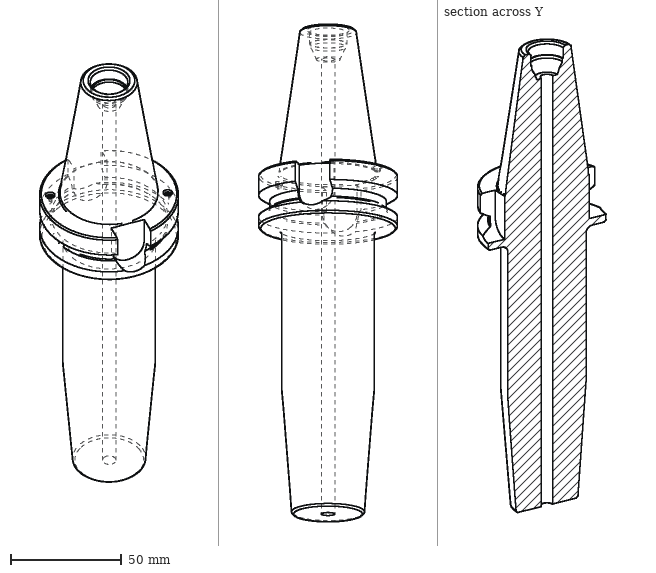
import cadquery as cq
import math


GAUGE_RADIUS = 22.225
TAPER_HEIGHT = 65.4
TAPER_SLOPE = 7 / 48
TAPER_TOP_RADIUS = GAUGE_RADIUS - TAPER_HEIGHT * TAPER_SLOPE
TAPER_TOP_CHAMFER = 1.0

FLANGE_RADIUS = 31.5
FLANGE_TOP_Z = -2.0
FLANGE_BOTTOM_Z = -27.0
FLANGE_TOP_CHAMFER = 0.8
COLLAR_FILLET = 0.7
FLANGE_BOTTOM_CHAMFER = 1.0
GROOVE_CENTER_Z = -16.6
GROOVE_RADIUS = 26.5
GROOVE_FLOOR_HALF_WIDTH = 2.1
GROOVE_WALL_ANGLE = math.radians(30)
GROOVE_FILLET = 0.8
GROOVE_MOUTH_HALF_WIDTH = (
    GROOVE_FLOOR_HALF_WIDTH + (FLANGE_RADIUS - GROOVE_RADIUS) * math.tan(GROOVE_WALL_ANGLE)
)

SHANK_RADIUS = 21.0
SHANK_FILLET = 3.0
NOSE_START_Z = -102.3
NOSE_RADIUS = 16.6
NOSE_BOTTOM_Z = -160.0
NOSE_CHAMFER = 1.0

MOUTH_RADIUS = 9.5
SOCKET_RADIUS = 8.5
SOCKET_DEPTH = 6.3
STEP_RADIUS = 8.1
STEP_DEPTH = 7.8
UPPER_CONE_END_RADIUS = 6.5
UPPER_CONE_ANGLE = math.radians(30)
LOWER_CONE_END_RADIUS = 5.4
LOWER_CONE_ANGLE = math.radians(20)
COOLANT_RADIUS = 3.0

SLOT_WIDTH = 16.1
SLOT_FLOOR_X = 22.6
SLOT_BOTTOM_Z = -23.2

SCREW_CIRCLE_RADIUS = 26.6
SCREW_ANGLE = 70
SCREW_RADIUS = 2.1
SCREW_COUNTERSINK = 0.7
SCREW_HOLE_DEPTH = 1.5
SCREW_SOCKET_RADIUS = 0.7
SCREW_SOCKET_DEPTH = 3.0


def make_body():
    """Revolve the outer outline around the Z axis."""
    groove_top = GROOVE_CENTER_Z + GROOVE_FLOOR_HALF_WIDTH
    groove_bottom = GROOVE_CENTER_Z - GROOVE_FLOOR_HALF_WIDTH
    mouth_top = GROOVE_CENTER_Z + GROOVE_MOUTH_HALF_WIDTH
    mouth_bottom = GROOVE_CENTER_Z - GROOVE_MOUTH_HALF_WIDTH
    fillet_setback = GROOVE_FILLET * math.tan((math.pi / 2 - GROOVE_WALL_ANGLE) / 2)
    profile = (
        cq.Workplane("XZ")
        .moveTo(0, TAPER_HEIGHT)
        .lineTo(TAPER_TOP_RADIUS - TAPER_TOP_CHAMFER, TAPER_HEIGHT)
        .lineTo(TAPER_TOP_RADIUS + TAPER_TOP_CHAMFER * TAPER_SLOPE, TAPER_HEIGHT - TAPER_TOP_CHAMFER)
        .lineTo(GAUGE_RADIUS, 0)
        .lineTo(GAUGE_RADIUS, FLANGE_TOP_Z + COLLAR_FILLET)
        .radiusArc((GAUGE_RADIUS + COLLAR_FILLET, FLANGE_TOP_Z), -COLLAR_FILLET)
        .lineTo(FLANGE_RADIUS - FLANGE_TOP_CHAMFER, FLANGE_TOP_Z)
        .lineTo(FLANGE_RADIUS, FLANGE_TOP_Z - FLANGE_TOP_CHAMFER)
        .lineTo(FLANGE_RADIUS, mouth_top)
        .lineTo(GROOVE_RADIUS, groove_top)
        .lineTo(GROOVE_RADIUS, groove_bottom + fillet_setback)
        .radiusArc(
            (
                GROOVE_RADIUS + fillet_setback * math.cos(GROOVE_WALL_ANGLE),
                groove_bottom - fillet_setback * math.sin(GROOVE_WALL_ANGLE),
            ),
            -GROOVE_FILLET,
        )
        .lineTo(FLANGE_RADIUS, mouth_bottom)
        .lineTo(FLANGE_RADIUS, FLANGE_BOTTOM_Z + FLANGE_BOTTOM_CHAMFER)
        .lineTo(FLANGE_RADIUS - FLANGE_BOTTOM_CHAMFER, FLANGE_BOTTOM_Z)
        .lineTo(SHANK_RADIUS + SHANK_FILLET, FLANGE_BOTTOM_Z)
        .radiusArc((SHANK_RADIUS, FLANGE_BOTTOM_Z - SHANK_FILLET), -SHANK_FILLET)
        .lineTo(SHANK_RADIUS, NOSE_START_Z)
        .lineTo(NOSE_RADIUS, NOSE_BOTTOM_Z + NOSE_CHAMFER)
        .lineTo(NOSE_RADIUS - NOSE_CHAMFER, NOSE_BOTTOM_Z)
        .lineTo(0, NOSE_BOTTOM_Z)
        .close()
    )
    return profile.revolve(360, (0, 0, 0), (0, 1, 0))


def make_bore():
    """Stepped bore open at the taper top, continuing as a coolant hole through the nose."""
    mouth_chamfer = MOUTH_RADIUS - SOCKET_RADIUS
    socket_floor_z = TAPER_HEIGHT - SOCKET_DEPTH
    step_end_z = TAPER_HEIGHT - STEP_DEPTH
    upper_cone_end_z = step_end_z - (STEP_RADIUS - UPPER_CONE_END_RADIUS) / math.tan(UPPER_CONE_ANGLE)
    lower_cone_height = (UPPER_CONE_END_RADIUS - LOWER_CONE_END_RADIUS) / math.tan(LOWER_CONE_ANGLE)
    bore_floor_z = upper_cone_end_z - lower_cone_height
    profile = (
        cq.Workplane("XZ")
        .moveTo(0, TAPER_HEIGHT)
        .lineTo(MOUTH_RADIUS, TAPER_HEIGHT)
        .lineTo(SOCKET_RADIUS, TAPER_HEIGHT - mouth_chamfer)
        .lineTo(SOCKET_RADIUS, socket_floor_z)
        .lineTo(STEP_RADIUS, socket_floor_z)
        .lineTo(STEP_RADIUS, step_end_z)
        .lineTo(UPPER_CONE_END_RADIUS, upper_cone_end_z)
        .lineTo(LOWER_CONE_END_RADIUS, bore_floor_z)
        .lineTo(COOLANT_RADIUS, bore_floor_z)
        .lineTo(COOLANT_RADIUS, NOSE_BOTTOM_Z)
        .lineTo(0, NOSE_BOTTOM_Z)
        .close()
    )
    return profile.revolve(360, (0, 0, 0), (0, 1, 0))


def make_drive_slot():
    """Round-bottomed slot on the +X side, open toward the flange top and rim."""
    half_width = SLOT_WIDTH / 2
    return (
        cq.Workplane("YZ", origin=(SLOT_FLOOR_X, 0, 0))
        .moveTo(-half_width, 0)
        .lineTo(-half_width, SLOT_BOTTOM_Z + half_width)
        .threePointArc((0, SLOT_BOTTOM_Z), (half_width, SLOT_BOTTOM_Z + half_width))
        .lineTo(half_width, 0)
        .close()
        .extrude(FLANGE_RADIUS)
    )


def make_screw_hole():
    """One set-screw hole, revolved about its own axis and placed on the screw circle."""
    hole_radius = SCREW_RADIUS - SCREW_COUNTERSINK
    profile = (
        cq.Workplane("XZ")
        .moveTo(0, 0)
        .lineTo(SCREW_RADIUS, 0)
        .lineTo(hole_radius, -SCREW_COUNTERSINK)
        .lineTo(hole_radius, -SCREW_HOLE_DEPTH)
        .lineTo(SCREW_SOCKET_RADIUS, -SCREW_HOLE_DEPTH)
        .lineTo(SCREW_SOCKET_RADIUS, -SCREW_SOCKET_DEPTH)
        .lineTo(0, -SCREW_SOCKET_DEPTH)
        .close()
    )
    hole = profile.revolve(360, (0, 0, 0), (0, 1, 0))
    return hole.translate((SCREW_CIRCLE_RADIUS, 0, FLANGE_TOP_Z)).rotate((0, 0, 0), (0, 0, 1), SCREW_ANGLE)


result = make_body().cut(make_bore())
for half_turn in (0, 180):
    for cutter in (make_drive_slot(), make_screw_hole()):
        result = result.cut(cutter.rotate((0, 0, 0), (0, 0, 1), half_turn))